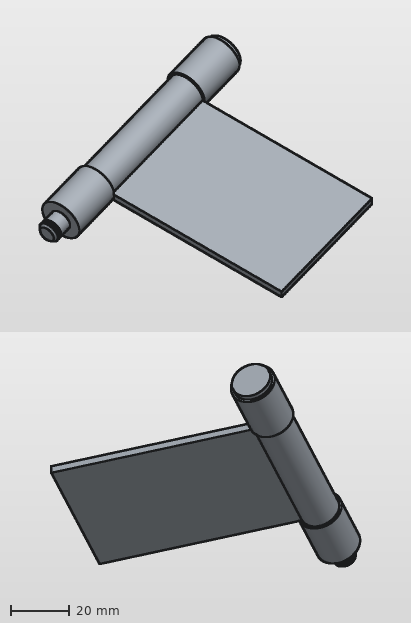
import cadquery as cq

barrel_length = 52.0
barrel_diameter = 14.2
sleeve_length = 20.0
sleeve_diameter = 16.0

leaf_reach = 80.0
leaf_thickness = 3.0

pin_diameter = 8.0
pin_protrusion = 8.0
pin_chamfer = 1.0
head_diameter = 14.0
head_thickness = 2.0

groove_width = 0.9
groove_depth = 0.5
groove_end_offset = 2.0

barrel_front = -barrel_length / 2
barrel_back = barrel_length / 2
front_sleeve_start = barrel_front - sleeve_length
head_start = barrel_back + sleeve_length
pin_tip = front_sleeve_start - pin_protrusion


def cylinder(diameter, start, length):
    """Cylinder on the hinge axis, running toward +Y from the start station."""
    base = cq.Workplane("XZ", origin=(0, start, 0))
    return base.circle(diameter / 2).extrude(-length)


def make_sleeve(start):
    """Outer sleeve bored to fit the pin."""
    sleeve = cylinder(sleeve_diameter, start, sleeve_length)
    return sleeve.cut(cylinder(pin_diameter, start, sleeve_length))


def make_leaf():
    """Flat leaf joined to its barrel, bored to fit the pin."""
    barrel = cylinder(barrel_diameter, barrel_front, barrel_length)
    plate = cq.Workplane("XY").box(
        leaf_reach, barrel_length, leaf_thickness, centered=(False, True, False)
    )
    plate = plate.translate((0, 0, -leaf_thickness))
    return barrel.union(plate).cut(cylinder(pin_diameter, barrel_front, barrel_length))


def make_pin():
    """Headed pin with a chamfered tip and a retaining groove near it."""
    shaft = cylinder(pin_diameter, pin_tip, head_start - pin_tip)
    shaft = shaft.faces("<Y").chamfer(pin_chamfer)

    groove_start = pin_tip + groove_end_offset
    groove = cylinder(pin_diameter, groove_start, groove_width)
    groove = groove.cut(cylinder(pin_diameter - 2 * groove_depth, groove_start, groove_width))

    head = cylinder(head_diameter, head_start, head_thickness)
    return shaft.cut(groove).union(head)


leaf = make_leaf()
pin = make_pin()
sleeves = [make_sleeve(start) for start in (front_sleeve_start, barrel_back)]

result = cq.Compound.makeCompound([leaf.val(), pin.val(), *[sleeve.val() for sleeve in sleeves]])